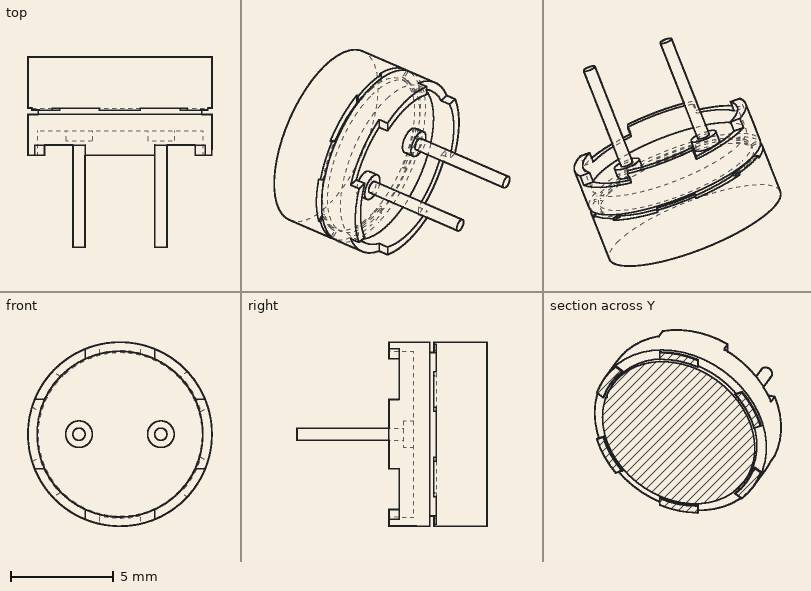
import cadquery as cq


body_radius = 4.5
body_length = 4.8
cap_length = 2.6
base_start = 2.8
groove_floor_radius = 4.0

tab_count = 6
tab_width = 2.0
tab_height = 0.1
tab_inner_radius = 4.1

recess_radius = 4.05
recess_depth = 1.2
foot_count = 4
foot_width = 3.4
foot_height = 0.5

pin_spacing = 4.0
pin_diameter = 0.6
pin_length = 4.5
boss_diameter = 1.3
boss_height = 0.5

tab_root = cap_length - tab_height
foot_root = body_length - foot_height
recess_floor = body_length - recess_depth
pin_tip = body_length + pin_length

pin_centers = [(-pin_spacing / 2, 0), (pin_spacing / 2, 0)]


def section(depth):
    """Workplane square to the axis at a depth, with its normal toward -Y."""
    return cq.Workplane("XZ", origin=(0, -depth, 0))


def disc(radius, start, end):
    return section(start).circle(radius).extrude(end - start)


def ring(outer_radius, inner_radius, start, end):
    return section(start).circle(outer_radius).circle(inner_radius).extrude(end - start)


def ring_segments(full_ring, count, width, start, end):
    """Parts of a ring inside parallel-sided radial bars, the first pointing to +Z."""
    bar_length = 2 * body_radius
    bar = section(start).center(0, bar_length / 2).rect(width, bar_length).extrude(end - start)
    bars = bar
    for index in range(1, count):
        bars = bars.union(bar.rotate((0, 0, 0), (0, 1, 0), index * 360 / count))
    return full_ring.intersect(bars)


def make_cap():
    core = disc(groove_floor_radius, 0, base_start)
    rim = ring(body_radius, tab_inner_radius, tab_root, cap_length)
    tabs = ring_segments(rim, tab_count, tab_width, tab_root, cap_length)
    return disc(body_radius, 0, tab_root).union(core).union(tabs)


def make_base():
    floor = disc(body_radius, base_start, recess_floor)
    wall = ring(body_radius, recess_radius, recess_floor, foot_root)
    foot_ring = ring(body_radius, recess_radius, foot_root, body_length)
    feet = ring_segments(foot_ring, foot_count, foot_width, foot_root, body_length)
    return floor.union(wall).union(feet)


def round_posts(diameter, start, end):
    """One round post at each pin position."""
    return section(start).pushPoints(pin_centers).circle(diameter / 2).extrude(end - start)


def make_pins():
    bosses = round_posts(boss_diameter, recess_floor, recess_floor + boss_height)
    pins = round_posts(pin_diameter, recess_floor, pin_tip)
    return bosses.union(pins)


result = make_cap().union(make_base()).union(make_pins())